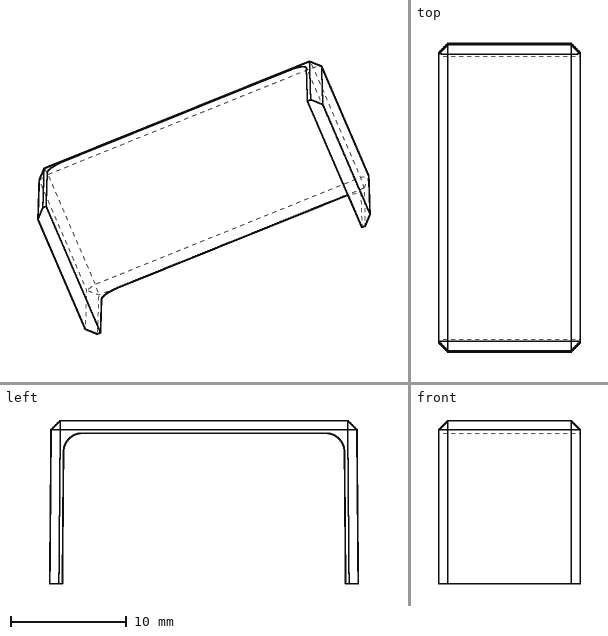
import cadquery as cq
import math

width = 12.22
foot_length = 26.65
height = 14.1
plate_thickness = 1.1
leg_thickness = 1.11
edge_chamfer = 0.8
inner_radius = 1.6
leg_draft = 0.5

draft_slope = math.tan(math.radians(leg_draft))
top_length = foot_length - 2 * height * draft_slope
opening_height = height - plate_thickness
opening_foot_length = foot_length - 2 * leg_thickness
opening_top_length = opening_foot_length - 2 * opening_height * draft_slope


def tapered_prism(bottom_length, upper_length, prism_height):
    """Symmetric trapezoid in YZ standing on Z = 0, extruded across the full width."""
    return (
        cq.Workplane("YZ")
        .polyline([
            (-bottom_length / 2, 0),
            (bottom_length / 2, 0),
            (upper_length / 2, prism_height),
            (-upper_length / 2, prism_height),
        ])
        .close()
        .extrude(width / 2, both=True)
    )


def chamfered_body():
    """Outer block with every edge broken except those around the foot plane."""
    body = tapered_prism(foot_length, top_length, height)
    return body.edges("not <Z").chamfer(edge_chamfer)


def opening():
    """Space between the legs, rounded where the legs meet the top plate."""
    space = tapered_prism(opening_foot_length, opening_top_length, opening_height)
    return space.faces(">Z").edges("|X").fillet(inner_radius)


result = chamfered_body().cut(opening())